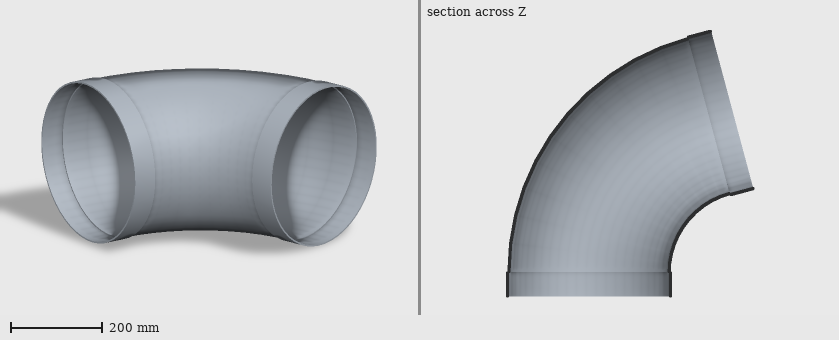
import cadquery as cq

bend_angle = 75.0
bend_radius = 355.0
pipe_diameter = 355.0
collar_diameter = 361.0
collar_length = 53.0
wall = 3.5

bend_start = (0, collar_length, 0)
bend_axis_start = (bend_radius, collar_length, 0)
bend_axis_end = (bend_radius, collar_length, 1)


def ring_at_bend_start(outer_diameter):
    """Ring profile of the common wall thickness, facing -Y at the start of the bend."""
    profile = cq.Workplane("XZ", origin=bend_start)
    return profile.circle(outer_diameter / 2).circle(outer_diameter / 2 - wall)


def curved_pipe():
    axis_start = (bend_radius, 0)
    axis_end = (bend_radius, -1)
    return ring_at_bend_start(pipe_diameter).revolve(bend_angle, axis_start, axis_end)


def inlet_collar():
    return ring_at_bend_start(collar_diameter).extrude(collar_length)


def outlet_collar():
    """Collar continuing past the bend start, carried round to the far end of the bend."""
    collar = ring_at_bend_start(collar_diameter).extrude(-collar_length)
    return collar.rotate(bend_axis_start, bend_axis_end, -bend_angle)


result = curved_pipe().union(inlet_collar()).union(outlet_collar())